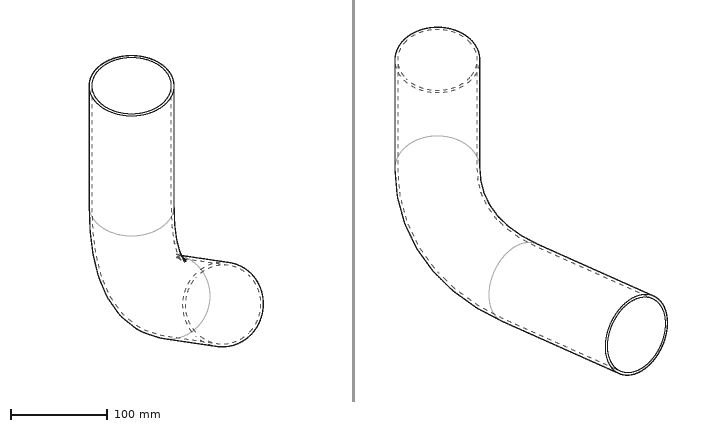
import cadquery as cq
import math

overall_height = 550.5
outer_diameter = 88.5
inner_diameter = 82.5
bend_radius = 305.0
bend_angle = 45.0

sin_bend = math.sin(math.radians(bend_angle))
cos_bend = math.cos(math.radians(bend_angle))
bend_height = bend_radius * sin_bend
end_rim_drop = outer_diameter / 2 * sin_bend
leg_length = (overall_height - bend_height - end_rim_drop) / (1 + cos_bend)


def ring(workplane):
    """Annular pipe section centred on a workplane."""
    return workplane.circle(outer_diameter / 2).circle(inner_diameter / 2)


upper_leg = ring(cq.Workplane("XY")).extrude(leg_length)

bend = ring(cq.Workplane("XY")).revolve(
    bend_angle, (0, bend_radius, 0), (1, bend_radius, 0)
)

bend_end = (0, bend_radius * (1 - cos_bend), -bend_height)
lower_direction = (0, sin_bend, -cos_bend)
lower_plane = cq.Plane(origin=bend_end, xDir=(1, 0, 0), normal=lower_direction)
lower_leg = ring(cq.Workplane(lower_plane)).extrude(leg_length)

result = upper_leg.union(bend).union(lower_leg)